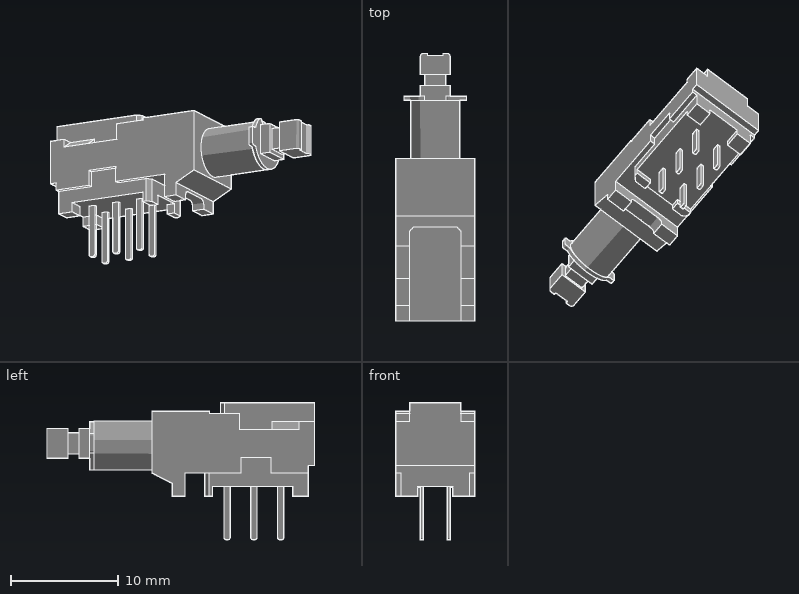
import cadquery as cq
import math


width = 7.4
half_width = width / 2
housing_length = 15.2
front_top_z = 3.2
step_top_z = 3.0
step_y = -5.4
front_bottom_z = -2.58
rear_bottom_z = -1.88
rear_setback = 0.6
leg_bottom_z = -4.75
leg_front_y = -1.9
leg_back_y = -3.1
leg_front_top_z = -3.55
leg_gap = 3.6
leg_gap_radius = 0.5

shoulder_y = -8.2
shoulder_z = 1.5
ramp_top_z = 2.25
ramp_front_y = -11.2
ramp_back_y = -13.75

block_width = 4.8
block_top_z = 4.0
block_front_y = -6.4
block_chamfer = 0.4

side_wall = 0.5
base_width = width - 2 * side_wall
window_front_y = -8.3
window_back_y = -11.12
window_top_z = -1.12
base_front_y = -4.92
base_back_y = -housing_length + rear_setback
base_chamfer = 0.4
base_underside_z = -3.85
front_foot_length = 0.75
rear_foot_length = 1.45
foot_gap = 3.25

pin_thickness = 0.3
pin_width = 0.6
pin_row_spacing = 2.5
pins_per_row = 3
pin_pitch = 2.5
first_pin_y = -7.02
pin_bottom_z = -8.8
pin_tip_radius = 0.22

bushing_radius = 2.3
bushing_length = 5.4
clip_thickness = 0.4
clip_radius = 2.5
clip_slot_width = 2.05
clip_tip_radius = 0.32
clip_span = 5.88
clip_lug_height = 1.8
clip_lug_radius = 0.22
clip_lug_root_radius = 0.15

plunger_z = 0.2
plunger_size = 2.8
neck_size = 2.0
collar_end_y = 6.8
neck_end_y = 7.8
plunger_end_y = 9.8
head_radius = 0.3
head_slot_width = 1.4
head_slot_depth = 0.2


def box(x_range, y_range, z_range):
    """Axis-aligned box between the given limits."""
    limits = (x_range, y_range, z_range)
    sizes = [abs(end - start) for start, end in limits]
    corner = [min(limit) for limit in limits]
    return cq.Workplane("XY").box(*sizes, centered=False).translate(tuple(corner))


def centered_box(size_x, y_range, z_range):
    """Axis-aligned box that is symmetric about X = 0."""
    return box((-size_x / 2, size_x / 2), y_range, z_range)


def extrude_side_outline(points, size_x):
    """Extrude a (Y, Z) outline symmetrically about X = 0."""
    return cq.Workplane("YZ").polyline(points).close().extrude(size_x / 2, both=True)


def make_housing():
    outline = [
        (0, front_top_z),
        (step_y, front_top_z),
        (step_y, step_top_z),
        (shoulder_y, step_top_z),
        (shoulder_y, shoulder_z),
        (ramp_back_y, shoulder_z),
        (ramp_back_y, ramp_top_z),
        (-housing_length, ramp_top_z),
        (-housing_length, rear_bottom_z),
        (base_back_y, rear_bottom_z),
        (base_back_y, front_bottom_z),
        (window_back_y, front_bottom_z),
        (window_back_y, window_top_z),
        (window_front_y, window_top_z),
        (window_front_y, front_bottom_z),
        (leg_back_y, front_bottom_z),
        (leg_back_y, leg_bottom_z),
        (leg_front_y, leg_bottom_z),
        (leg_front_y, leg_front_top_z),
        (0, front_bottom_z),
    ]
    housing = extrude_side_outline(outline, width)
    gap = centered_box(leg_gap, (leg_back_y, leg_front_y), (leg_bottom_z, base_underside_z))
    gap = gap.faces(">Z").edges("|Y").fillet(leg_gap_radius)
    return housing.cut(gap)


def make_top_block():
    block = centered_box(block_width, (-housing_length, block_front_y), (rear_bottom_z, block_top_z))
    return block.faces(">Y").edges("|Z").chamfer(block_chamfer)


def make_ramp(side):
    """Ramp that rises from the outer side of one shoulder to the top block."""
    outline = [
        (side * half_width, shoulder_z),
        (side * block_width / 2, shoulder_z),
        (side * block_width / 2, ramp_top_z),
    ]
    ramp = cq.Workplane("XZ", origin=(0, ramp_front_y, 0)).polyline(outline).close()
    return ramp.extrude(ramp_front_y - ramp_back_y)


def make_base():
    base = centered_box(base_width, (base_back_y, base_front_y), (leg_bottom_z, window_top_z))
    base = base.faces(">Y").edges("|Z").chamfer(base_chamfer)
    recess_y = (base_back_y + rear_foot_length, base_front_y - front_foot_length)
    foot_z = (leg_bottom_z, base_underside_z)
    base = base.cut(centered_box(base_width, recess_y, foot_z))
    return base.cut(centered_box(foot_gap, (base_back_y, base_front_y), foot_z))


def make_pin(x, y):
    pin = box(
        (x - pin_thickness / 2, x + pin_thickness / 2),
        (y - pin_width / 2, y + pin_width / 2),
        (pin_bottom_z, base_underside_z),
    )
    return pin.faces("<Z").edges("|X").fillet(pin_tip_radius)


def make_bushing():
    bushing = cq.Workplane("XZ").circle(bushing_radius)
    return bushing.extrude(-bushing_length)


def make_clip():
    """Retaining ring with a slot at the top and a lug on each side."""
    ring = cq.Workplane("XZ").circle(clip_radius).extrude(-clip_thickness)
    slot = centered_box(clip_slot_width, (0, clip_thickness), (neck_size / 2, clip_radius))
    ring = ring.cut(slot)
    ring = ring.edges("|Y").edges(">Z").fillet(clip_tip_radius)
    lugs = centered_box(clip_span, (0, clip_thickness), (-clip_lug_height / 2, clip_lug_height / 2))
    lugs = lugs.edges("|Y").fillet(clip_lug_radius)
    clip = ring.union(lugs)
    root_z = clip_lug_height / 2
    root_x = math.sqrt(clip_radius**2 - root_z**2)
    for x in (-root_x, root_x):
        for z in (-root_z, root_z):
            root_edge = cq.selectors.NearestToPointSelector((x, clip_thickness / 2, z))
            clip = clip.edges(root_edge).fillet(clip_lug_root_radius)
    return clip.translate((0, bushing_length, plunger_z))


def plunger_section(size, y_range):
    """Square length of the plunger, centered on the plunger axis."""
    return centered_box(size, y_range, (plunger_z - size / 2, plunger_z + size / 2))


def make_plunger():
    collar = plunger_section(plunger_size, (bushing_length, collar_end_y))
    neck = plunger_section(neck_size, (collar_end_y, neck_end_y))
    head = plunger_section(plunger_size, (neck_end_y, plunger_end_y))
    head = head.faces(">Y").edges("|Z").fillet(head_radius)
    slot_y = (plunger_end_y - head_slot_depth, plunger_end_y)
    slot_z = (plunger_z - plunger_size / 2, plunger_z + plunger_size / 2)
    head = head.cut(centered_box(head_slot_width, slot_y, slot_z))
    return collar.union(neck).union(head)


result = make_housing().union(make_top_block()).union(make_base())
for side in (-1, 1):
    result = result.union(make_ramp(side))
    for pin_index in range(pins_per_row):
        pin_x = side * pin_row_spacing / 2
        result = result.union(make_pin(pin_x, first_pin_y - pin_index * pin_pitch))
result = result.union(make_bushing()).union(make_clip()).union(make_plunger())